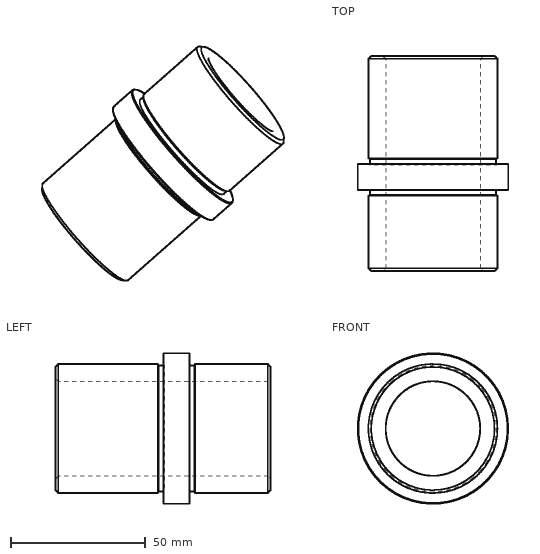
import cadquery as cq

length = 80.0
body_radius = 24.0
collar_radius = 28.0
collar_width = 10.0
front_length = 30.0
bore_radius = 17.5
bore_rounding = 2.0
end_chamfer = 1.1
collar_chamfer = 0.3

groove_width = 2.0
groove_depth = 0.6
groove_ramp = 0.5
undercut_depth = 0.4
undercut_radius = 24.8

front_y = -length / 2
back_y = length / 2
collar_front_y = front_y + front_length
collar_back_y = collar_front_y + collar_width
groove_radius = body_radius - groove_depth


def cylinder(radius, start_y, end_y):
    """Solid cylinder about the Y axis between two positions."""
    return cq.Workplane("XZ", origin=(0, start_y, 0)).circle(radius).extrude(start_y - end_y)


def relief_groove(face_y, outward):
    """Ring cutter beside a collar face; outward is the Y direction away from the collar."""
    outer_y = face_y + outward * groove_width
    floor_start_y = outer_y - outward * groove_ramp
    undercut_y = face_y - outward * undercut_depth
    return (
        cq.Workplane("XY")
        .moveTo(body_radius, outer_y)
        .lineTo(groove_radius, floor_start_y)
        .lineTo(groove_radius, undercut_y)
        .lineTo(undercut_radius, face_y)
        .lineTo(body_radius, face_y)
        .close()
        .revolve(360, (0, 0, 0), (0, 1, 0))
    )


body = cylinder(body_radius, front_y, back_y).edges().chamfer(end_chamfer)
collar = cylinder(collar_radius, collar_front_y, collar_back_y).edges().chamfer(collar_chamfer)
bushing = body.union(collar)

for face_y, outward in ((collar_front_y, -1), (collar_back_y, 1)):
    bushing = bushing.cut(relief_groove(face_y, outward))

bushing = bushing.cut(cylinder(bore_radius, front_y, back_y))
bore_rims = cq.selectors.RadiusNthSelector(0)
result = bushing.faces("<Y or >Y").edges(bore_rims).fillet(bore_rounding)